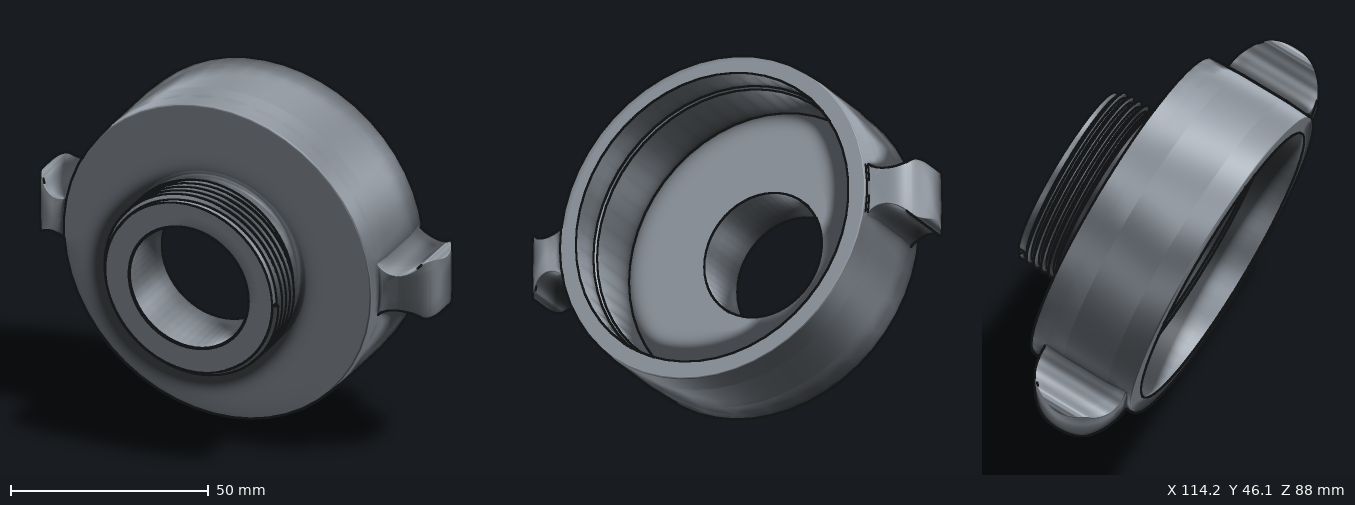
import cadquery as cq
import math

overall_width = 114.2
overall_length = 46.1

body_length = 30.0
body_end_radius = 43.6
body_edge_round = 0.5
band_diameter = 88.0
band_radius = band_diameter / 2
band_back_gap = 7.2
band_length = 13.0
body_front = overall_length - body_length

floor_thickness = 2.3
cavity_radius = 38.3
cavity_mouth_radius = 38.9
cavity_mouth_depth = 10.3
cavity_step = cavity_mouth_radius - cavity_radius

neck_radius = 23.6
neck_root_fillet = 1.6
bore_radius = 16.8
bore_chamfer = 0.2

thread_pitch = 2.2
thread_depth = 1.3
thread_angle = 60
thread_start = 0.96
thread_end = 11.4
thread_root_overlap = 0.2

lug_radius = 12.2
lug_bulge = 0.2
lug_crest_radius = lug_radius - lug_bulge
lug_edge_round = 0.2
lug_root_fillet = 0.5
lug_root_x = 42.3
lug_waist_x = 48.3
lug_waist_half_height = 4.97
lug_tip_half_height = 8.17
lug_tip_round = 2.0
lug_end_x = overall_width / 2
lug_center_x = lug_end_x - lug_radius
lug_center_y = overall_length - band_back_gap - band_length / 2


def disc(radius, start, length):
    """Cylinder on the Y axis running from Y = start towards +Y."""
    return cq.Workplane("XZ", origin=(0, start, 0)).circle(radius).extrude(-length)


def make_body():
    """Disc with a straight band round its middle, tapering slightly from the band to both rounded ends."""
    band_start = overall_length - band_back_gap - band_length
    return (
        cq.Workplane("XY")
        .moveTo(0, body_front)
        .lineTo(body_end_radius, body_front)
        .lineTo(band_radius, band_start)
        .lineTo(band_radius, band_start + band_length)
        .lineTo(body_end_radius, overall_length)
        .lineTo(0, overall_length)
        .close()
        .revolve(360, (0, 0, 0), (0, 1, 0))
        .faces("<Y or >Y")
        .edges()
        .fillet(body_edge_round)
    )


def make_neck():
    """Neck with a concave fillet where it meets the body, revolved about Y."""
    fillet_start = body_front - neck_root_fillet
    fillet_radius = neck_radius + neck_root_fillet
    fillet_shift = neck_root_fillet * math.sqrt(0.5)
    return (
        cq.Workplane("XY")
        .lineTo(neck_radius, 0)
        .lineTo(neck_radius, fillet_start)
        .threePointArc((fillet_radius - fillet_shift, fillet_start + fillet_shift), (fillet_radius, body_front))
        .lineTo(fillet_radius, body_front + floor_thickness / 2)
        .lineTo(0, body_front + floor_thickness / 2)
        .close()
        .revolve(360, (0, 0, 0), (0, 1, 0))
    )


def make_thread():
    """Triangular ridge swept along a helix that starts on the +X side, trimmed flat at its inner end."""
    inner_radius = neck_radius - thread_root_overlap
    ridge_height = thread_depth + thread_root_overlap
    half_base = ridge_height * math.tan(math.radians(thread_angle / 2))
    helix_height = thread_end + thread_pitch - thread_start
    helix = cq.Wire.makeHelix(thread_pitch, helix_height, inner_radius)
    ridge = (
        cq.Workplane("XZ")
        .moveTo(inner_radius, -half_base)
        .lineTo(inner_radius + ridge_height, 0)
        .lineTo(inner_radius, half_base)
        .close()
        .sweep(cq.Workplane(obj=helix), isFrenet=True)
        .rotate((0, 0, 0), (1, 0, 0), -90)
        .translate((0, thread_start, 0))
    )
    return ridge.intersect(disc(band_radius, 0, thread_end))


def bulged_half_section():
    """Half of the lug's bulged cross-section, in the YZ plane from the lug's mid-plane outwards."""
    return (
        cq.Workplane("YZ")
        .moveTo(0, -lug_tip_half_height)
        .lineTo(lug_crest_radius, -lug_tip_half_height)
        .threePointArc((lug_radius, 0), (lug_crest_radius, lug_tip_half_height))
        .lineTo(0, lug_tip_half_height)
        .close()
    )


def make_lug():
    """Lug on the +X side: the waisted side profile trimmed by the round-ended plan outline."""
    tip_x = lug_end_x - lug_tip_round
    tip_z = lug_tip_half_height - lug_tip_round
    run = tip_x - lug_waist_x
    rise = tip_z - lug_waist_half_height
    waist_radius = (run**2 + rise**2 - lug_tip_round**2) / (2 * (rise + lug_tip_round))
    waist_center_z = lug_waist_half_height + waist_radius
    share = waist_radius / (waist_radius + lug_tip_round)
    tangent_x = lug_waist_x + share * run
    tangent_z = waist_center_z + share * (tip_z - waist_center_z)
    root_z = waist_center_z - math.sqrt(waist_radius**2 - (lug_waist_x - lug_root_x) ** 2)

    profile = (
        cq.Workplane("XZ", origin=(0, lug_center_y, 0))
        .moveTo(lug_root_x, root_z)
        .threePointArc((lug_waist_x, lug_waist_half_height), (tangent_x, tangent_z))
        .threePointArc((tip_x, lug_tip_half_height), (lug_end_x, tip_z))
        .lineTo(lug_end_x, -tip_z)
        .threePointArc((tip_x, -lug_tip_half_height), (tangent_x, -tangent_z))
        .threePointArc((lug_waist_x, -lug_waist_half_height), (lug_root_x, -root_z))
        .close()
        .extrude(2 * lug_radius, both=True)
    )
    barrel = bulged_half_section().revolve(360, (0, 0, 0), (0, 1, 0))
    root_half = bulged_half_section().extrude(lug_root_x - lug_center_x)
    root = root_half.union(root_half.mirror("XZ"))
    plan = barrel.union(root).translate((lug_center_x, lug_center_y, 0))
    return profile.intersect(plan).faces(">X").edges().fillet(lug_edge_round)


def make_hollow():
    """Chamfered bore and stepped cavity as one revolved space."""
    floor_y = body_front + floor_thickness
    mouth_y = overall_length - cavity_mouth_depth
    return (
        cq.Workplane("XY")
        .lineTo(bore_radius + bore_chamfer, 0)
        .lineTo(bore_radius, bore_chamfer)
        .lineTo(bore_radius, floor_y)
        .lineTo(cavity_radius, floor_y)
        .lineTo(cavity_radius, mouth_y)
        .lineTo(cavity_mouth_radius, mouth_y + cavity_step)
        .lineTo(cavity_mouth_radius, overall_length)
        .lineTo(0, overall_length)
        .close()
        .revolve(360, (0, 0, 0), (0, 1, 0))
    )


def make_lugged_body():
    """Body with both lugs, with a small fillet round each lug's root."""
    lug = make_lug()
    both = make_body().union(lug).union(lug.mirror("YZ"))
    root_reach = (lug_center_x, lug_center_y + lug_radius, lug_tip_half_height)
    root_box = cq.selectors.BoxSelector((-lug_center_x, lug_center_y - lug_radius, -lug_tip_half_height), root_reach)
    return both.edges("|Y").edges(root_box).fillet(lug_root_fillet)


result = (
    make_lugged_body()
    .union(make_neck())
    .cut(make_hollow())
    .union(make_thread())
)